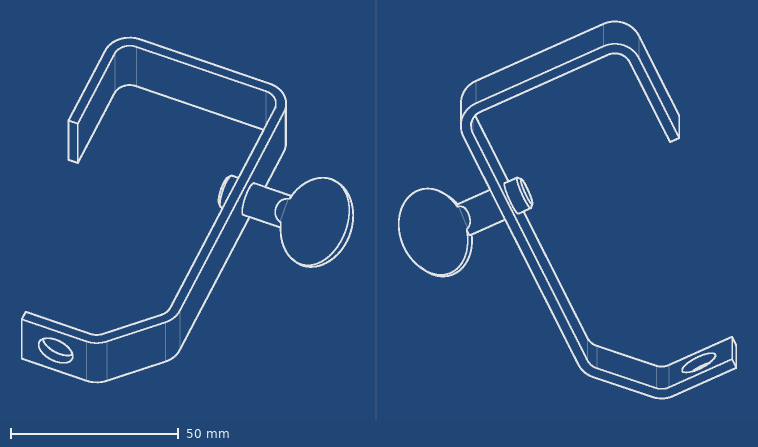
import cadquery as cq
import math

LENGTH = 109.0
BRACKET_WIDTH = 58.0
STRIP_WIDTH = 20.0
THICKNESS = 3.0
BEND_RADIUS = 8.0
HOOK_LENGTH = 36.0
WALL_END = 87.7
FOOT_START = 15.8
SLOPE_ANGLE = 45.0
FOOT_HOLE_DIAMETER = 11.0
FOOT_HOLE_INSET = 11.0

SHAFT_DIAMETER = 10.0
SHAFT_DROP = 35.0
SHAFT_TIP = 49.9
TIP_CHAMFER = 0.9
SCREW_END = 90.0
GRIP_WIDTH = 20.0
GRIP_HEIGHT = 27.0
GRIP_TILT = 30.0
GRIP_WAIST = 3.5
GRIP_HOLLOW_RADIUS = 29.4
NECK_RADIUS = 5.0

GRIP_CENTER_X = SCREW_END - GRIP_WIDTH / 2
SHAFT_Y = -SHAFT_DROP
INNER_RADIUS = BEND_RADIUS - THICKNESS


def polar(center, radius, angle):
    """Point at the given radius and angle in degrees around a centre."""
    a = math.radians(angle)
    return (center[0] + radius * math.cos(a), center[1] + radius * math.sin(a))


def make_strip():
    """Bent strip: each bend is an inner and an outer arc about one centre."""
    left_bend = (BEND_RADIUS, -BEND_RADIUS)
    right_bend = (BRACKET_WIDTH - BEND_RADIUS, -BEND_RADIUS)
    wall_bend = (BRACKET_WIDTH - BEND_RADIUS, -WALL_END)
    foot_bend_y = BEND_RADIUS - LENGTH
    drop = wall_bend[1] - foot_bend_y
    foot_bend = (wall_bend[0] - drop * math.tan(math.radians(SLOPE_ANGLE)), foot_bend_y)

    bends = [
        (left_bend, 180, 90),
        (right_bend, 90, 0),
        (wall_bend, 0, -SLOPE_ANGLE),
        (foot_bend, -SLOPE_ANGLE, -90),
    ]

    outline = cq.Workplane("XY").workplane(offset=-STRIP_WIDTH / 2).moveTo(0, -HOOK_LENGTH)
    for center, start, end in bends:
        outline = outline.lineTo(*polar(center, BEND_RADIUS, start)).threePointArc(
            polar(center, BEND_RADIUS, (start + end) / 2), polar(center, BEND_RADIUS, end)
        )
    outline = outline.lineTo(FOOT_START, -LENGTH).lineTo(FOOT_START, THICKNESS - LENGTH)
    for center, start, end in reversed(bends):
        outline = outline.lineTo(*polar(center, INNER_RADIUS, end)).threePointArc(
            polar(center, INNER_RADIUS, (start + end) / 2), polar(center, INNER_RADIUS, start)
        )
    return outline.lineTo(THICKNESS, -HOOK_LENGTH).close().extrude(STRIP_WIDTH)


def make_bracket():
    """Strip with the hole in its foot and the shaft's hole in its long wall."""
    foot_hole = (
        cq.Workplane("XZ", origin=(FOOT_START + FOOT_HOLE_INSET, -LENGTH, 0))
        .circle(FOOT_HOLE_DIAMETER / 2)
        .extrude(-THICKNESS)
    )
    shaft_hole = (
        cq.Workplane("YZ", origin=(BRACKET_WIDTH - THICKNESS, SHAFT_Y, 0))
        .circle(SHAFT_DIAMETER / 2)
        .extrude(THICKNESS)
    )
    return make_strip().cut(foot_hole).cut(shaft_hole)


def make_hollow():
    """Cutter for the upper grip face: a shallow arc running into a tighter neck arc at the shaft."""
    hollow_center = (GRIP_CENTER_X, GRIP_WAIST / 2 + GRIP_HOLLOW_RADIUS)
    edge_angle = math.degrees(math.asin(GRIP_WIDTH / 2 / GRIP_HOLLOW_RADIUS))
    far_edge = polar(hollow_center, GRIP_HOLLOW_RADIUS, edge_angle - 90)
    near_angle = -90 - edge_angle
    near_edge = polar(hollow_center, GRIP_HOLLOW_RADIUS, near_angle)

    neck_center = polar(hollow_center, GRIP_HOLLOW_RADIUS - NECK_RADIUS, near_angle)
    neck_end = polar(neck_center, NECK_RADIUS, -180)

    return (
        cq.Workplane("XZ", origin=(0, SHAFT_Y, 0))
        .moveTo(*far_edge)
        .threePointArc((GRIP_CENTER_X, GRIP_WAIST / 2), near_edge)
        .threePointArc(polar(neck_center, NECK_RADIUS, (near_angle - 180) / 2), neck_end)
        .lineTo(far_edge[0], neck_end[1])
        .close()
        .extrude(GRIP_HEIGHT, both=True)
    )


def make_thumb_screw():
    """Shaft and oval grip, hollowed together on both faces, then tilted."""
    shaft = (
        cq.Workplane("YZ", origin=(SHAFT_TIP, SHAFT_Y, 0))
        .circle(SHAFT_DIAMETER / 2)
        .extrude(GRIP_CENTER_X - SHAFT_TIP)
        .faces("<X")
        .chamfer(TIP_CHAMFER)
    )
    grip = (
        cq.Workplane("XY", origin=(GRIP_CENTER_X, SHAFT_Y, -SHAFT_DIAMETER / 2))
        .ellipse(GRIP_WIDTH / 2, GRIP_HEIGHT / 2)
        .extrude(SHAFT_DIAMETER)
    )
    hollow = make_hollow()
    screw = shaft.union(grip).cut(hollow).cut(hollow.mirror("XY"))
    return screw.rotate((0, SHAFT_Y, 0), (1, SHAFT_Y, 0), GRIP_TILT)


bracket = make_bracket()
thumb_screw = make_thumb_screw()

result = cq.Compound.makeCompound([bracket.val(), thumb_screw.val()])